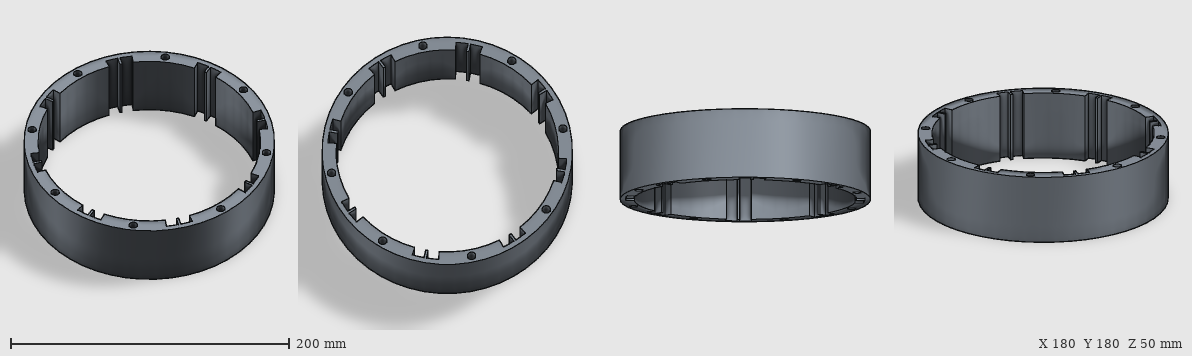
import cadquery as cq
import math

outer_diameter = 180.0
height = 50.0
inner_radius = 80.0

slot_count = 8
slot_floor_radius = 86.0
slot_angle = 12.8
rib_thickness = 1.8

hole_circle_radius = 85.0
hole_diameter = 6.0

outer_radius = outer_diameter / 2
slot_pitch = 360.0 / slot_count


def polar_point(radius, angle):
    """Point in the XY plane at a radius and an angle in degrees."""
    return (radius * math.cos(math.radians(angle)), radius * math.sin(math.radians(angle)))


def cylinder(radius):
    """Full-height cylinder on the ring axis."""
    return cq.Workplane("XY").circle(radius).extrude(height)


def slot_cutter(angle):
    """Wedge with radial side walls and a rounded floor concentric with the ring."""
    start = angle - slot_angle / 2
    end = angle + slot_angle / 2
    return (
        cq.Workplane("XY")
        .lineTo(*polar_point(slot_floor_radius, start))
        .threePointArc(polar_point(slot_floor_radius, angle), polar_point(slot_floor_radius, end))
        .close()
        .extrude(height)
    )


def rib(angle):
    """Radial plate that reaches from the bore into the ring wall behind the slot."""
    root_radius = (slot_floor_radius + outer_radius) / 2
    plate = cq.Workplane("XY").rect(root_radius, rib_thickness).extrude(height)
    plate = plate.translate((root_radius / 2, 0, 0))
    return plate.cut(cylinder(inner_radius)).rotate((0, 0, 0), (0, 0, 1), angle)


result = cylinder(outer_radius).cut(cylinder(inner_radius))

for index in range(slot_count):
    slot_direction = index * slot_pitch
    result = result.cut(slot_cutter(slot_direction)).union(rib(slot_direction))

holes = (
    cq.Workplane("XY")
    .polarArray(hole_circle_radius, slot_pitch / 2, 360, slot_count)
    .circle(hole_diameter / 2)
    .extrude(height)
)
result = result.cut(holes)